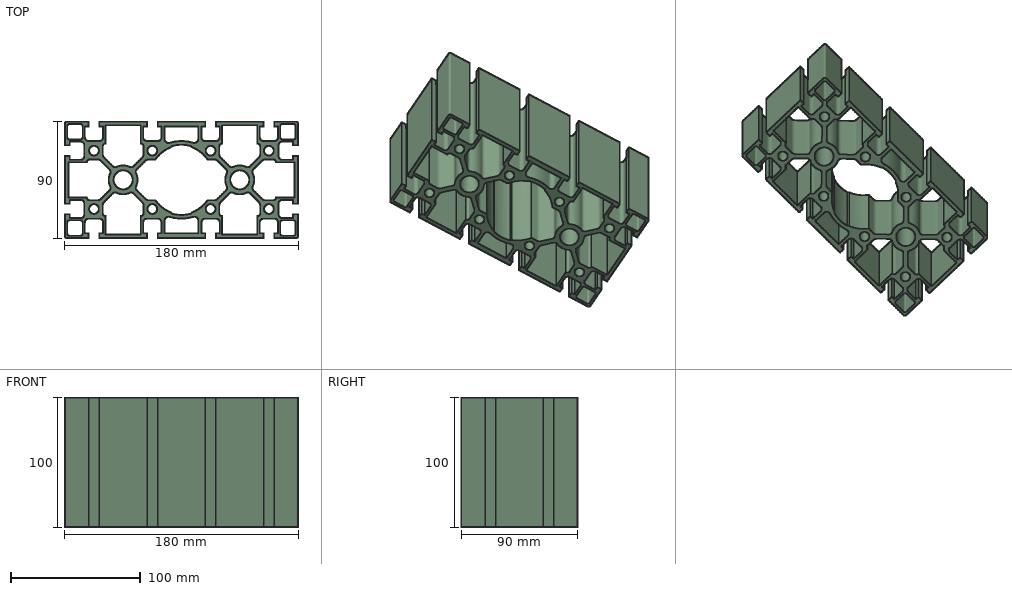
import cadquery as cq
import math

module = 45.0
length_x = 4 * module
length_y = 2 * module
height = 100.0
outer_corner_radius = 1.5

slot_opening = 8.1
slot_width = 13.9
slot_lip = 4.0
slot_depth = 15.0
slot_floor_radius = 2.7

core_bore_diameter = 7.4
boss_bore_diameter = 14.5
boss_diameter = 22.5
core_half_size = 6.8

web_thickness = 3.6
web_half_run = web_thickness / math.sqrt(2)
web_boss_radius = 2.7
web_core_radius = 3.6

corner_wall = 2.0
corner_hollow_size = 11.7
corner_hollow_radius = 1.5

pocket_half_width = 13.5
pocket_outer_wall = 2.9
pocket_step = 27.9
pocket_corner_radius = 2.0

arch_radius = 27.0
flank_offset = 1.8
crown_half_width = 7.2

shallow_half_width = 13.0
shallow_floor_radius = 30.0
shallow_corner_radius = 3.0

boss_x = module
core_positions = [(x * module, y * module) for x in (-1.5, -0.5, 0.5, 1.5) for y in (-0.5, 0.5)]
boss_positions = [(-boss_x, 0), (boss_x, 0)]
core_inner = module / 2 - core_half_size


def cylinder(diameter, points):
    return cq.Workplane("XY").pushPoints(points).circle(diameter / 2).extrude(height)


def prism(points):
    return cq.Workplane("XY").polyline(points).close().extrude(height)


def placed(shape, angle, x, y):
    return shape.rotate((0, 0, 0), (0, 0, 1), angle).translate((x, y, 0))


def make_slot():
    """T-slot opening toward +Y, with the outer face at y = 0."""
    opening = cq.Workplane("XY").rect(slot_opening, 2 * slot_lip).extrude(height)
    channel_depth = slot_depth - slot_lip
    channel = (
        cq.Workplane("XY")
        .center(0, -slot_lip - channel_depth / 2)
        .rect(slot_width, channel_depth)
        .extrude(height)
        .edges("|Z and <Y")
        .fillet(slot_floor_radius)
    )
    return opening.union(channel)


def make_large_pocket():
    """Pocket on the +Y side of a boss whose axis is the origin."""
    top = module - pocket_outer_wall
    lower_right = [
        (0, web_half_run),
        (core_inner, core_inner + web_half_run),
        (core_inner, pocket_step),
    ]
    lower_left = [(-x, y) for x, y in reversed(lower_right[1:])]
    pocket = prism(lower_right + lower_left).cut(cylinder(boss_diameter, [(0, 0)]))
    pocket = pocket.edges("|Z").edges(">>Y[-2]").fillet(web_core_radius)
    pocket = pocket.edges("|Z").edges(">Y").fillet(pocket_corner_radius)
    pocket = pocket.edges("|Z").edges("<Y").fillet(web_boss_radius)
    upper = prism([
        (-pocket_half_width, pocket_step),
        (pocket_half_width, pocket_step),
        (pocket_half_width, top),
        (-pocket_half_width, top),
    ])
    return pocket.union(upper)


def make_central_cavity():
    """Cavity between the two bosses, bounded by webs, cores and the arched walls."""
    tip = boss_x - web_half_run
    shoulder = tip - core_inner
    between_webs = prism([
        (tip, 0),
        (shoulder, core_inner),
        (-shoulder, core_inner),
        (-tip, 0),
        (-shoulder, -core_inner),
        (shoulder, -core_inner),
    ])
    between_webs = between_webs.edges("|Z").edges("<Y or >Y").fillet(web_core_radius)
    between_webs = between_webs.cut(cylinder(boss_diameter, boss_positions))
    between_webs = between_webs.edges("|Z").edges("<X or >X").fillet(web_boss_radius)
    flanks = cylinder(2 * arch_radius, [(-flank_offset, 0)])
    flanks = flanks.intersect(cylinder(2 * arch_radius, [(flank_offset, 0)]))
    bevel_reach = crown_half_width + math.sqrt(arch_radius**2 - crown_half_width**2)
    bevels = prism([(bevel_reach, 0), (0, bevel_reach), (-bevel_reach, 0), (0, -bevel_reach)])
    crown = bevels.intersect(cylinder(2 * arch_radius, [(0, 0)]))
    return between_webs.union(flanks).union(crown)


def make_shallow_pocket():
    """Pocket on the +Y side of the central cavity."""
    top = module - slot_lip
    pocket = prism([
        (-shallow_half_width, 0),
        (shallow_half_width, 0),
        (shallow_half_width, top),
        (-shallow_half_width, top),
    ])
    pocket = pocket.cut(cylinder(2 * shallow_floor_radius, [(0, 0)]))
    return pocket.edges("|Z").edges("<Y").fillet(shallow_corner_radius)


result = cq.Workplane("XY").rect(length_x, length_y).extrude(height)
result = result.edges("|Z").fillet(outer_corner_radius)

result = result.cut(cylinder(core_bore_diameter, core_positions))
result = result.cut(cylinder(boss_bore_diameter, boss_positions))

hollow_x = length_x / 2 - corner_wall - corner_hollow_size / 2
hollow_y = length_y / 2 - corner_wall - corner_hollow_size / 2
corner_hollows = (
    cq.Workplane("XY")
    .rect(2 * hollow_x, 2 * hollow_y, forConstruction=True)
    .vertices()
    .rect(corner_hollow_size, corner_hollow_size)
    .extrude(height)
    .edges("|Z")
    .fillet(corner_hollow_radius)
)
result = result.cut(corner_hollows)

slot = make_slot()
for x, y in core_positions:
    long_face_angle = 0 if y > 0 else 180
    result = result.cut(placed(slot, long_face_angle, x, math.copysign(length_y / 2, y)))
    if abs(x) > module:
        short_face_angle = -90 if x > 0 else 90
        result = result.cut(placed(slot, short_face_angle, math.copysign(length_x / 2, x), y))

large_pocket = make_large_pocket()
for x, end_angle in ((-boss_x, 90), (boss_x, -90)):
    for angle in (0, 180, end_angle):
        result = result.cut(placed(large_pocket, angle, x, 0))

result = result.cut(make_central_cavity())
shallow_pocket = make_shallow_pocket()
for angle in (0, 180):
    result = result.cut(placed(shallow_pocket, angle, 0, 0))